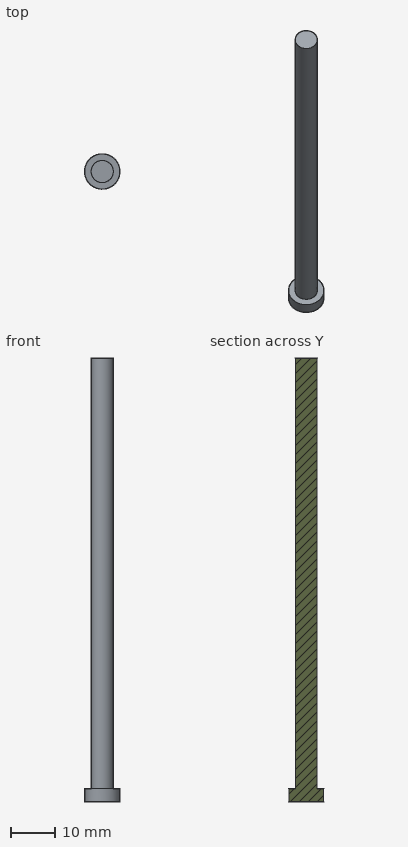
import cadquery as cq

total_length = 100.0
head_diameter = 8.0
head_height = 3.0
shank_diameter = 5.0

head = cq.Workplane("XY").circle(head_diameter / 2).extrude(head_height)
shank = cq.Workplane("XY").circle(shank_diameter / 2).extrude(total_length)

result = head.union(shank)